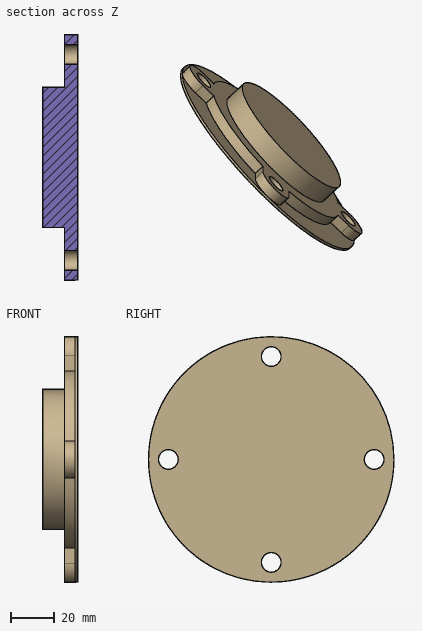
import cadquery as cq

total_thickness = 16.2
boss_height = 10.0
disc_thickness = 1.2
flange_thickness = total_thickness - boss_height - disc_thickness

disc_diameter = 113.3
boss_diameter = 64.8
flange_diameter = 83.6

lug_count = 4
lug_width = 17.2
lug_end_radius = lug_width / 2
lug_end_distance = disc_diameter / 2 - lug_end_radius
hole_diameter = 9.0
hole_circle_diameter = 95.0

flange_start = boss_height
disc_start = flange_start + flange_thickness


def cylinder(start, diameter, length):
    """Cylinder on the X axis, running from start toward +X."""
    return cq.Workplane("YZ", origin=(start, 0, 0)).circle(diameter / 2).extrude(length)


def lug():
    """Round-ended lug reaching from the axis along +Y to the disc rim."""
    return (
        cq.Workplane("YZ", origin=(flange_start, 0, 0))
        .moveTo(0, -lug_end_radius)
        .lineTo(lug_end_distance, -lug_end_radius)
        .threePointArc((disc_diameter / 2, 0), (lug_end_distance, lug_end_radius))
        .lineTo(0, lug_end_radius)
        .close()
        .extrude(flange_thickness)
    )


body = cylinder(0, boss_diameter, boss_height)
body = body.union(cylinder(flange_start, flange_diameter, flange_thickness))
body = body.union(cylinder(disc_start, disc_diameter, disc_thickness))

for index in range(lug_count):
    angle = index * 360 / lug_count
    body = body.union(lug().rotate((0, 0, 0), (1, 0, 0), angle))

holes = (
    cq.Workplane("YZ")
    .polarArray(hole_circle_diameter / 2, 0, 360, lug_count)
    .circle(hole_diameter / 2)
    .extrude(total_thickness)
)

result = body.cut(holes)